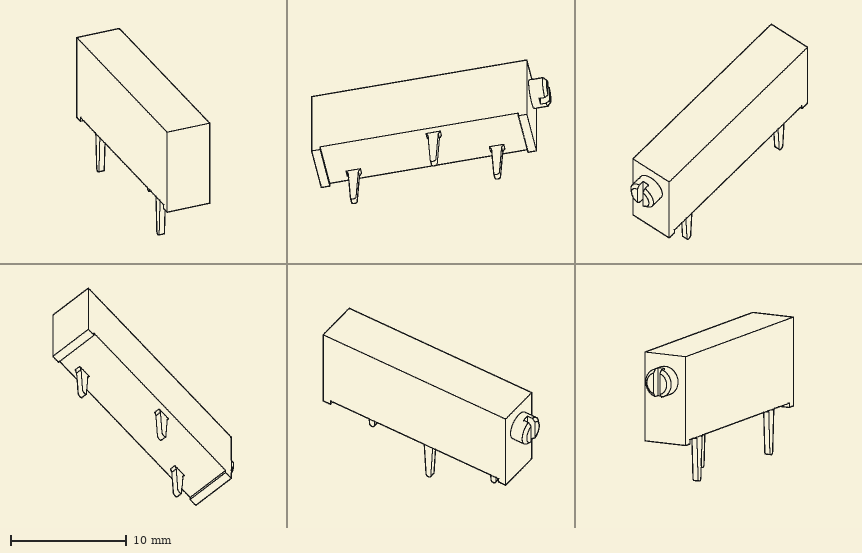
import cadquery as cq

total_length = 20.57
total_height = 11.68
body_width = 4.05

screw_length = 1.5
body_length = total_length - screw_length
body_height = 7.88
foot_length = 0.76
foot_height = 0.4

screw_diameter = 2.53
screw_chamfer = 0.29
screw_drop = 2.32
slot_width = 0.62
slot_depth = 0.78

pin_span = 12.7
pin_pitch = pin_span / 5
first_pin_x = 3.33
pin_thickness = 0.51
pin_row_offset = pin_pitch / 2
pin_length = total_height - body_height + foot_height
shoulder_half_width = 0.64
shoulder_height = 0.35
neck_half_width = 0.45
tip_radius = 0.257

pin_layout = [(0, -1), (2, 1), (5, -1)]


def make_housing():
    """Block with its -X face at X = 0 and its feet on Z = 0."""
    block = cq.Workplane("XY").box(body_length, body_width, body_height, centered=(False, True, False))
    recess = cq.Workplane("XY").box(
        body_length - 2 * foot_length, body_width, foot_height, centered=(False, True, False)
    )
    return block.cut(recess.translate((foot_length, 0, 0)))


def make_screw():
    """Chamfered screw head with a vertical screwdriver slot."""
    head = (
        cq.Workplane("YZ", origin=(-screw_length, 0, body_height - screw_drop))
        .circle(screw_diameter / 2)
        .extrude(screw_length)
        .faces("<X")
        .chamfer(screw_chamfer)
    )
    slot = cq.Workplane("XY").box(slot_depth, slot_width, screw_diameter, centered=(False, True, True))
    return head.cut(slot.translate((-screw_length, 0, body_height - screw_drop)))


def make_pin(x, y):
    """Pin hanging from the recess floor, with sloped shoulders and a round tip."""
    neck_z = -shoulder_height
    tip_z = -pin_length + tip_radius
    return (
        cq.Workplane("XZ")
        .moveTo(-shoulder_half_width, 0)
        .lineTo(-neck_half_width, neck_z)
        .lineTo(-tip_radius, tip_z)
        .threePointArc((0, -pin_length), (tip_radius, tip_z))
        .lineTo(neck_half_width, neck_z)
        .lineTo(shoulder_half_width, 0)
        .close()
        .extrude(pin_thickness / 2, both=True)
        .translate((x, y, foot_height))
    )


result = make_housing().union(make_screw())
for pitches, side in pin_layout:
    result = result.union(make_pin(first_pin_x + pitches * pin_pitch, side * pin_row_offset))